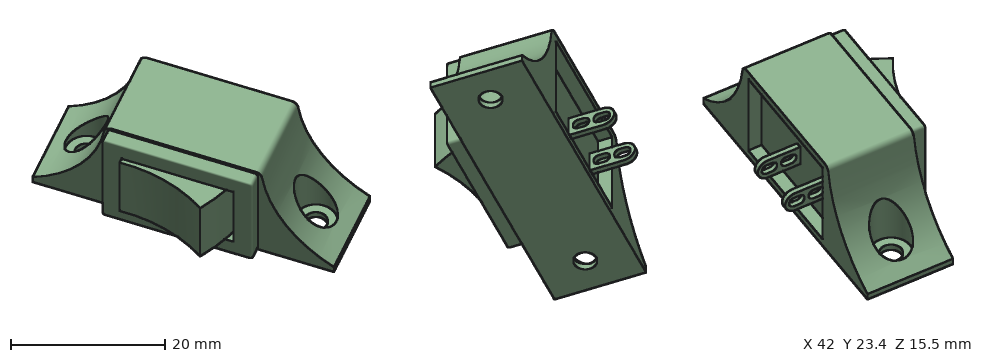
import cadquery as cq

mount_length = 42.0
mount_depth = 12.9
mount_height = 15.5
ear_edge_height = 1.0
ear_curve_radius = 18.0
ear_curve_top_half_width = 10.9
mount_edge_radius = 1.0
screw_spacing = 32.0
screw_distance_from_back = 6.5
screw_hole_diameter = 3.1
counterbore_diameter = 5.7
counterbore_floor_height = 1.0

bezel_length = 21.0
bezel_height = 15.0
bezel_thickness = 2.0
bezel_gap = 0.1
bezel_corner_radius = 0.5
bezel_front_radius = 0.25
body_length = 19.0
body_height = 13.0
body_recess = 2.0
rocker_opening_length = 15.6
rocker_opening_height = 10.0

terminal_positions = (-7.0, 0.0)
terminal_thickness = 0.8
terminal_width = 3.1
terminal_reach = 4.4
slot_width = 1.52
slot_length = 1.5 * slot_width
slot_margin = 0.63
slot_count = 2

rocker_height = 9.75
rocker_raised_reach = 4.0
rocker_low_reach = 0.6
rocker_tip_x = 4.75
rocker_front_radius = 21.2
rocker_side_radius = 26.0
rocker_depth = 3.0
rocker_side_clearance = 0.1

switch_center_z = mount_height / 2
bezel_back_y = -bezel_gap
bezel_front_y = bezel_back_y - bezel_thickness
body_back_y = mount_depth - body_recess
rocker_back_y = bezel_front_y + rocker_depth


def box_about_switch(length, height, front_y, back_y):
    """Block centred on the switch axis between two Y positions."""
    depth = back_y - front_y
    center = (0, (front_y + back_y) / 2, switch_center_z)
    return cq.Workplane("XY").box(length, depth, height).translate(center)


def make_mount():
    half_length = mount_length / 2
    profile = (
        cq.Workplane("XZ")
        .moveTo(-half_length, 0)
        .lineTo(half_length, 0)
        .lineTo(half_length, ear_edge_height)
        .radiusArc((ear_curve_top_half_width, mount_height), ear_curve_radius)
        .lineTo(-ear_curve_top_half_width, mount_height)
        .radiusArc((-half_length, ear_edge_height), ear_curve_radius)
        .close()
    )
    mount = profile.extrude(-mount_depth)
    mount = mount.faces(">Z").edges("|Y").fillet(mount_edge_radius)
    for side in (-1, 1):
        screw_x = side * screw_spacing / 2
        screw_base = cq.Workplane("XY").center(screw_x, mount_depth - screw_distance_from_back)
        mount = mount.cut(screw_base.circle(screw_hole_diameter / 2).extrude(mount_height))
        counterbore = screw_base.workplane(offset=counterbore_floor_height)
        mount = mount.cut(counterbore.circle(counterbore_diameter / 2).extrude(mount_height))
    return mount.cut(box_about_switch(body_length, body_height, 0, mount_depth))


def make_terminal(terminal_x):
    """Blade that starts on the body's back face and points to +Y."""
    tip_y = mount_depth + terminal_reach
    end_radius = terminal_width / 2
    round_center_y = tip_y - end_radius
    blade = (
        cq.Workplane("YZ")
        .moveTo(body_back_y, -end_radius)
        .lineTo(round_center_y, -end_radius)
        .threePointArc((tip_y, 0), (round_center_y, end_radius))
        .lineTo(body_back_y, end_radius)
        .close()
        .extrude(terminal_thickness / 2, both=True)
    )
    slot_pitch = slot_length + slot_margin
    for index in range(slot_count):
        slot_center_y = tip_y - slot_margin - slot_length / 2 - index * slot_pitch
        slot = cq.Workplane("YZ").center(slot_center_y, 0).slot2D(slot_length, slot_width)
        blade = blade.cut(slot.extrude(terminal_thickness, both=True))
    return blade.translate((terminal_x, 0, switch_center_z))


def make_frame():
    bezel = box_about_switch(bezel_length, bezel_height, bezel_front_y, bezel_back_y)
    bezel = bezel.edges("|Y").fillet(bezel_corner_radius)
    bezel = bezel.faces("<Y").edges().fillet(bezel_front_radius)
    frame = bezel.union(box_about_switch(body_length, body_height, bezel_back_y, body_back_y))
    for terminal_x in terminal_positions:
        frame = frame.union(make_terminal(terminal_x))
    return frame.cut(
        box_about_switch(rocker_opening_length, rocker_opening_height, bezel_front_y, rocker_back_y)
    )


def make_rocker():
    left_x = -rocker_opening_length / 2
    right_x = rocker_opening_length / 2 - rocker_side_clearance
    tip_y = bezel_front_y - rocker_raised_reach
    return (
        cq.Workplane("XY")
        .workplane(offset=switch_center_z)
        .moveTo(left_x, rocker_back_y)
        .lineTo(left_x, bezel_front_y - rocker_low_reach)
        .radiusArc((rocker_tip_x, tip_y), rocker_front_radius)
        .radiusArc((right_x, rocker_back_y), -rocker_side_radius)
        .close()
        .extrude(rocker_height / 2, both=True)
    )


mount = make_mount()
frame = make_frame()
rocker = make_rocker()

result = cq.Compound.makeCompound([mount.val(), frame.val(), rocker.val()])